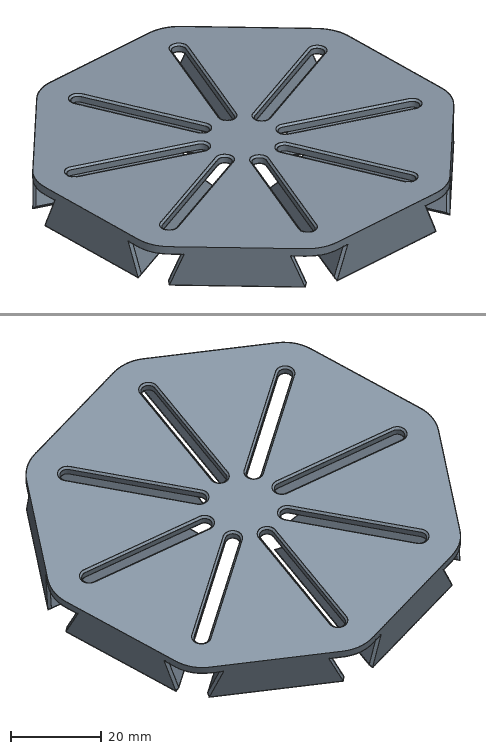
import cadquery as cq
import math

across_rounded_corners = 98.3
total_height = 10.0
plate_thickness = 2.0
side_count = 8
corner_radius = 10.0

groove_top_width = 12.0
groove_bottom_width = 6.0
wedge_edge_chamfer = 0.8

slot_width = 3.3
slot_inner_center = 10.0
slot_outer_center = 40.0
slot_top_chamfer = 0.5

half_side_angle = math.pi / side_count
corner_setback = corner_radius * (1 / math.cos(half_side_angle) - 1)
sharp_corner_radius = across_rounded_corners / 2 + corner_setback
wedge_height = total_height - plate_thickness
side_distance = sharp_corner_radius * math.cos(half_side_angle)
half_side_length = sharp_corner_radius * math.sin(half_side_angle)
corner_spacing = 360 / side_count
slot_length = slot_outer_center - slot_inner_center + slot_width
slot_middle = (slot_inner_center + slot_outer_center) / 2


def plate():
    """Octagonal top plate with rounded corners on the X and Y axes."""
    return (
        cq.Workplane("XY")
        .workplane(offset=wedge_height)
        .polygon(side_count, 2 * sharp_corner_radius)
        .extrude(plate_thickness)
        .edges("|Z")
        .fillet(corner_radius)
    )


def dovetail_groove(angle):
    """Radial groove from the part's axis outward, widest under the plate."""
    half_top = groove_top_width / 2
    half_bottom = groove_bottom_width / 2
    return (
        cq.Workplane("YZ")
        .polyline([
            (-half_bottom, 0),
            (half_bottom, 0),
            (half_top, wedge_height),
            (-half_top, wedge_height),
        ])
        .close()
        .extrude(sharp_corner_radius)
        .rotate((0, 0, 0), (0, 0, 1), angle)
    )


def wedge():
    """Block between two grooves, pointing inward, with its flat outer face toward +X."""
    block = (
        cq.Workplane("XY")
        .polyline([(0, 0), (side_distance, -half_side_length), (side_distance, half_side_length)])
        .close()
        .extrude(wedge_height)
    )
    for angle in (-corner_spacing / 2, corner_spacing / 2):
        block = block.cut(dovetail_groove(angle))
    outer_groove_edges = block.faces(">X").edges("not |Y")
    bottom_groove_edges = block.faces("<Z").edges("not |Y")
    return outer_groove_edges.add(bottom_groove_edges).chamfer(wedge_edge_chamfer)


def slotted_plate():
    """Plate with radial through slots, each with a chamfered top rim."""
    slots = (
        cq.Workplane("XY")
        .workplane(offset=wedge_height)
        .polarArray(slot_middle, 0, 360, side_count)
        .slot2D(slot_length, slot_width)
        .extrude(plate_thickness)
    )
    slotted = plate().cut(slots)
    slot_rims = [edge for rim in slotted.faces(">Z").val().innerWires() for edge in rim.Edges()]
    return slotted.newObject(slot_rims).chamfer(slot_top_chamfer)


result = slotted_plate()
for i in range(side_count):
    wedge_angle = (i + 0.5) * corner_spacing
    result = result.union(wedge().rotate((0, 0, 0), (0, 0, 1), wedge_angle))